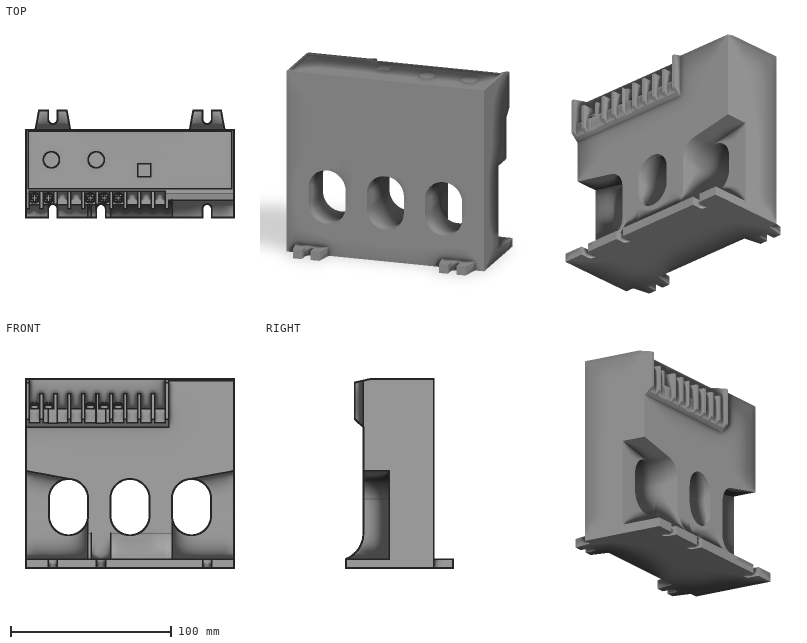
import cadquery as cq
import math


WIDTH = 130.0
HEIGHT = 118.0
TOTAL_DEPTH = 67.0
BACK_Y = 54.9
FRONT_Y = 10.9
BASE_HEIGHT = 5.7
LEFT_X = -WIDTH / 2

TOP_SLOPE_Y = 15.3
TOP_SLOPE_DROP_RATIO = 0.23

WINDOW_PITCH = 38.4
WINDOW_WIDTH = 24.3
WINDOW_HEIGHT = 35.0
WINDOW_Z = 38.1
RECESS_FLOOR_Y = 27.0
RECESS_SIDE_Z = 60.7

FOOT_TOP_Z = 21.8
POCKET_WIDTH = 12.0

SLOT_X = 48.1
MIDDLE_SLOT_X = -18.1
SLOT_WIDTH = 5.7
SLOT_DEPTH = 8.5
LUG_TIP_WIDTH = 17.4
LUG_ROOT_WIDTH = 21.8

TERMINAL_WIDTH = 89.2
TERMINAL_FRONT_Y = 5.5
TERMINAL_BACK_Y = 16.6
TERMINAL_CELLS = 10
FIN_THICKNESS = 2.1
FIN_TOP_Z = 108.8
FIN_BOTTOM_Z = 93.0
SLOPE_BOTTOM_Z = 88.0
LEDGE_Z = 99.5
LEDGE_FRONT_Y = 8.0
ACCESS_NOTCH_Y = 8.5
FIN_PITCH = (TERMINAL_WIDTH - FIN_THICKNESS) / TERMINAL_CELLS

PANEL_SIDE_MARGIN = 1.5
PANEL_BACK_MARGIN = 1.0
PANEL_FRONT_Y = 18.0
PANEL_DEPTH = 0.5
BUTTON_DIAMETER = 10.0
BUTTON_XS = (-49.0, -21.0)
BUTTON_Y = 36.1
SQUARE_SIDE = 8.0
SQUARE_X = 9.0
SQUARE_Y = 29.6

SCREW_CELLS = (0, 1, 4, 5, 6)
SCREW_SHANK_DIAMETER = 4.8
SCREW_SHANK_HEIGHT = 2.1
SCREW_HEAD_DIAMETER = 6.2
SCREW_RIM_HEIGHT = 0.5
SCREW_DOME_HEIGHT = 1.2
CROSS_WIDTH = 1.4
CROSS_SHORT_LENGTH = 4.0


def box(x_range, y_range, z_range):
    """Axis-aligned block between the given limits."""
    lows, highs = zip(x_range, y_range, z_range)
    sizes = [high - low for low, high in zip(lows, highs)]
    return cq.Workplane("XY").box(*sizes, centered=False).translate(lows)


def side_extrusion(outline, x_start, length):
    """Closed (y, z) outline extruded along +X from x_start."""
    return cq.Workplane("YZ", origin=(x_start, 0, 0)).polyline(outline).close().extrude(length)


def slope_z(y):
    """Height of the sloped front edge of the top at depth y."""
    return HEIGHT - TOP_SLOPE_DROP_RATIO * (TOP_SLOPE_Y - y)


def main_block():
    outline = [
        (0, 0),
        (BACK_Y, 0),
        (BACK_Y, HEIGHT),
        (TOP_SLOPE_Y, HEIGHT),
        (FRONT_Y, slope_z(FRONT_Y)),
        (FRONT_Y, BASE_HEIGHT),
        (0, BASE_HEIGHT),
    ]
    return side_extrusion(outline, LEFT_X, WIDTH)


def foot():
    """Concave ramp from the front face, tangent to it, down to the front edge of the base."""
    rise = FOOT_TOP_Z - BASE_HEIGHT
    radius = (FRONT_Y**2 + rise**2) / (2 * FRONT_Y)
    center_y = FRONT_Y - radius
    middle_angle = math.atan2(-rise, -center_y) / 2
    middle = (center_y + radius * math.cos(middle_angle), FOOT_TOP_Z + radius * math.sin(middle_angle))
    half_length = WINDOW_PITCH - WINDOW_WIDTH / 2
    ramp = (
        cq.Workplane("YZ", origin=(-half_length, 0, 0))
        .moveTo(FRONT_Y, FOOT_TOP_Z)
        .threePointArc(middle, (0, BASE_HEIGHT))
        .lineTo(FRONT_Y, BASE_HEIGHT)
        .close()
        .extrude(2 * half_length)
    )
    pocket_x = (MIDDLE_SLOT_X - POCKET_WIDTH / 2, MIDDLE_SLOT_X + POCKET_WIDTH / 2)
    return ramp.cut(box(pocket_x, (0, FRONT_Y), (BASE_HEIGHT, FOOT_TOP_Z)))


def lug(x):
    """Tapered mounting ear behind the housing."""
    outline = [
        (x - LUG_ROOT_WIDTH / 2, BACK_Y),
        (x + LUG_ROOT_WIDTH / 2, BACK_Y),
        (x + LUG_TIP_WIDTH / 2, TOTAL_DEPTH),
        (x - LUG_TIP_WIDTH / 2, TOTAL_DEPTH),
    ]
    return cq.Workplane("XY").polyline(outline).close().extrude(BASE_HEIGHT)


def mounting_slot(x, edge_y):
    """Oblong centred on the edge at edge_y, so that half of it cuts a round-ended open slot."""
    oblong = cq.Workplane("XY").center(x, edge_y).slot2D(2 * SLOT_DEPTH, SLOT_WIDTH, 90)
    return oblong.extrude(BASE_HEIGHT)


def windows():
    """Three upright oblong holes through the whole depth."""
    return (
        cq.Workplane("XZ")
        .pushPoints([(column * WINDOW_PITCH, WINDOW_Z) for column in (-1, 0, 1)])
        .slot2D(WINDOW_HEIGHT, WINDOW_WIDTH, 90)
        .extrude(-BACK_Y)
    )


def left_recess():
    """Corner recess whose sloped roof runs tangent into the arc of the outer window.

    The side between the tangent point and the window edge lies inside the window opening.
    """
    radius = WINDOW_WIDTH / 2
    arc_x = -WINDOW_PITCH
    arc_z = WINDOW_Z + WINDOW_HEIGHT / 2 - radius
    run = arc_x - LEFT_X
    drop = RECESS_SIDE_Z - arc_z
    tangent_angle = math.pi - math.atan2(drop, run) - math.acos(radius / math.hypot(run, drop))
    tangent_point = (arc_x + radius * math.cos(tangent_angle), arc_z + radius * math.sin(tangent_angle))
    outline = [
        (LEFT_X, BASE_HEIGHT),
        (LEFT_X, RECESS_SIDE_Z),
        tangent_point,
        (arc_x + radius, arc_z),
        (arc_x + radius, BASE_HEIGHT),
    ]
    return cq.Workplane("XZ").polyline(outline).close().extrude(-RECESS_FLOOR_Y)


def terminal_wall(x, end_wall):
    """Fin between two cells; an end wall rises to the sloped top of the housing."""
    if end_wall:
        top = [
            (TERMINAL_FRONT_Y, slope_z(TERMINAL_FRONT_Y)),
            (TOP_SLOPE_Y, HEIGHT),
            (TERMINAL_BACK_Y, HEIGHT),
        ]
    else:
        top = [(TERMINAL_FRONT_Y, FIN_TOP_Z), (TERMINAL_BACK_Y, FIN_TOP_Z)]
    outline = [
        (TERMINAL_BACK_Y, SLOPE_BOTTOM_Z),
        (FRONT_Y, SLOPE_BOTTOM_Z),
        (TERMINAL_FRONT_Y, FIN_BOTTOM_Z),
    ]
    return side_extrusion(outline + top, x, FIN_THICKNESS)


def terminal_ledge():
    """Step that carries the screws, with the sloped underside of the fins."""
    slope = (FIN_BOTTOM_Z - SLOPE_BOTTOM_Z) / (FRONT_Y - TERMINAL_FRONT_Y)
    outline = [
        (TERMINAL_BACK_Y, SLOPE_BOTTOM_Z),
        (FRONT_Y, SLOPE_BOTTOM_Z),
        (LEDGE_FRONT_Y, SLOPE_BOTTOM_Z + slope * (FRONT_Y - LEDGE_FRONT_Y)),
        (LEDGE_FRONT_Y, LEDGE_Z),
        (TERMINAL_BACK_Y, LEDGE_Z),
    ]
    return side_extrusion(outline, LEFT_X, TERMINAL_WIDTH)


def access_notch(x):
    """Clearance above a base slot through the front of the terminal block."""
    x_range = (x - SLOT_WIDTH / 2, x + SLOT_WIDTH / 2)
    return box(x_range, (0, ACCESS_NOTCH_Y), (SLOPE_BOTTOM_Z, HEIGHT))


def add_terminal_block(body):
    x_range = (LEFT_X, LEFT_X + TERMINAL_WIDTH)
    body = body.cut(box(x_range, (0, TERMINAL_BACK_Y), (LEDGE_Z, HEIGHT)))
    body = body.union(terminal_ledge())
    for index in range(TERMINAL_CELLS + 1):
        is_end = index in (0, TERMINAL_CELLS)
        body = body.union(terminal_wall(LEFT_X + index * FIN_PITCH, is_end))
    for x in (-SLOT_X, MIDDLE_SLOT_X):
        body = body.cut(access_notch(x))
    return body


def add_label_panel(body):
    """Shallow recess in the top with two round buttons and a square one standing in it."""
    floor_z = HEIGHT - PANEL_DEPTH
    half_width = WIDTH / 2 - PANEL_SIDE_MARGIN
    y_range = (PANEL_FRONT_Y, BACK_Y - PANEL_BACK_MARGIN)
    body = body.cut(box((-half_width, half_width), y_range, (floor_z, HEIGHT)))
    floor = cq.Workplane("XY", origin=(0, 0, floor_z))
    button_centers = [(x, BUTTON_Y) for x in BUTTON_XS]
    buttons = floor.pushPoints(button_centers).circle(BUTTON_DIAMETER / 2).extrude(PANEL_DEPTH)
    square = floor.center(SQUARE_X, SQUARE_Y).rect(SQUARE_SIDE, SQUARE_SIDE).extrude(PANEL_DEPTH)
    return body.union(buttons).union(square)


def make_housing():
    body = main_block().union(foot())
    for x in (-SLOT_X, SLOT_X):
        body = body.union(lug(x)).cut(mounting_slot(x, TOTAL_DEPTH))
    for x in (-SLOT_X, MIDDLE_SLOT_X, SLOT_X):
        body = body.cut(mounting_slot(x, 0))
    recess = left_recess()
    body = body.cut(recess).cut(recess.mirror("YZ")).cut(windows())
    body = add_terminal_block(body)
    return add_label_panel(body)


def make_screw(cell):
    """Dome-headed cross-slot screw standing on the ledge in the middle of a cell."""
    x = LEFT_X + cell * FIN_PITCH + (FIN_THICKNESS + FIN_PITCH) / 2
    y = (LEDGE_FRONT_Y + TERMINAL_BACK_Y) / 2
    head_radius = SCREW_HEAD_DIAMETER / 2
    rim_z = SCREW_SHANK_HEIGHT + SCREW_RIM_HEIGHT
    top_z = rim_z + SCREW_DOME_HEIGHT
    dome_radius = (head_radius**2 + SCREW_DOME_HEIGHT**2) / (2 * SCREW_DOME_HEIGHT)
    middle_angle = math.asin(head_radius / dome_radius) / 2
    dome_middle = (
        dome_radius * math.sin(middle_angle),
        top_z - dome_radius * (1 - math.cos(middle_angle)),
    )
    screw = (
        cq.Workplane("XZ")
        .lineTo(SCREW_SHANK_DIAMETER / 2, 0)
        .lineTo(SCREW_SHANK_DIAMETER / 2, SCREW_SHANK_HEIGHT)
        .lineTo(head_radius, SCREW_SHANK_HEIGHT)
        .lineTo(head_radius, rim_z)
        .threePointArc(dome_middle, (0, top_z))
        .close()
        .revolve(360, (0, 0, 0), (0, 1, 0))
    )
    groove_floor = cq.Workplane("XY", origin=(0, 0, rim_z))
    for length_x, length_y in ((CROSS_WIDTH, SCREW_HEAD_DIAMETER), (CROSS_SHORT_LENGTH, CROSS_WIDTH)):
        screw = screw.cut(groove_floor.rect(length_x, length_y).extrude(SCREW_DOME_HEIGHT))
    return screw.translate((x, y, LEDGE_Z))


housing = make_housing()
screws = [make_screw(cell) for cell in SCREW_CELLS]

result = cq.Compound.makeCompound([housing.val(), *[screw.val() for screw in screws]])